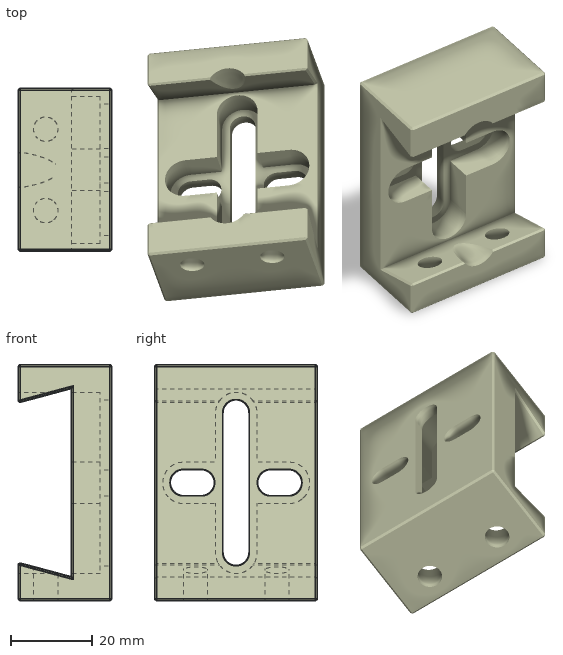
import cadquery as cq
import math

depth = 23.0
width = 40.0
height = 58.0
edge_chamfer = 0.5

floor_x = 13.0
lip_root_thickness = 5.9
lip_angle = math.radians(15)
floor_half_height = height / 2 - lip_root_thickness
mouth_half_height = floor_half_height - floor_x * math.tan(lip_angle)

slot_width = 6.4
recess_width = 10.2
recess_floor_x = 20.0
tall_slot_centers = 34.3
cross_outer_y = 12.95
cross_inner_y = 8.5

hole_diameter = 6.0
hole_spacing = 20.0
hole_x = 6.7


def make_body():
    """C-shaped block with an undercut channel and chamfered outer edges."""
    half_height = height / 2
    body = (
        cq.Workplane("XZ")
        .polyline([
            (0, half_height),
            (depth, half_height),
            (depth, -half_height),
            (0, -half_height),
            (0, -mouth_half_height),
            (floor_x, -floor_half_height),
            (floor_x, floor_half_height),
            (0, mouth_half_height),
        ])
        .close()
        .extrude(width / 2, both=True)
    )
    return body.faces("<X or >X or <Y or >Y").edges().chamfer(edge_chamfer)


def slot(center_y, center_distance, slot_size, angle, end_x):
    """Round-ended slot from the open side to end_x; angle 0 runs along Y and 90 along Z."""
    return (
        cq.Workplane("YZ", origin=(0, center_y, 0))
        .slot2D(center_distance + slot_size, slot_size, angle)
        .extrude(end_x)
    )


def cut_slots(body):
    """Cross-shaped recess with one tall and two short through slots in its floor."""
    body = body.cut(slot(0, tall_slot_centers, recess_width, 90, recess_floor_x))
    body = body.cut(slot(0, 2 * cross_outer_y, recess_width, 0, recess_floor_x))
    body = body.cut(slot(0, tall_slot_centers, slot_width, 90, depth))
    side_center = (cross_outer_y + cross_inner_y) / 2
    side_length = cross_outer_y - cross_inner_y
    for side in (-1, 1):
        body = body.cut(slot(side * side_center, side_length, slot_width, 0, depth))
    return body


def cut_lip_holes(body):
    """Pair of vertical holes through the lower lip."""
    holes = (
        cq.Workplane("XY", origin=(0, 0, -height / 2))
        .pushPoints([(hole_x, side * hole_spacing / 2) for side in (-1, 1)])
        .circle(hole_diameter / 2)
        .extrude(height / 2)
    )
    return body.cut(holes)


result = cut_lip_holes(cut_slots(make_body()))